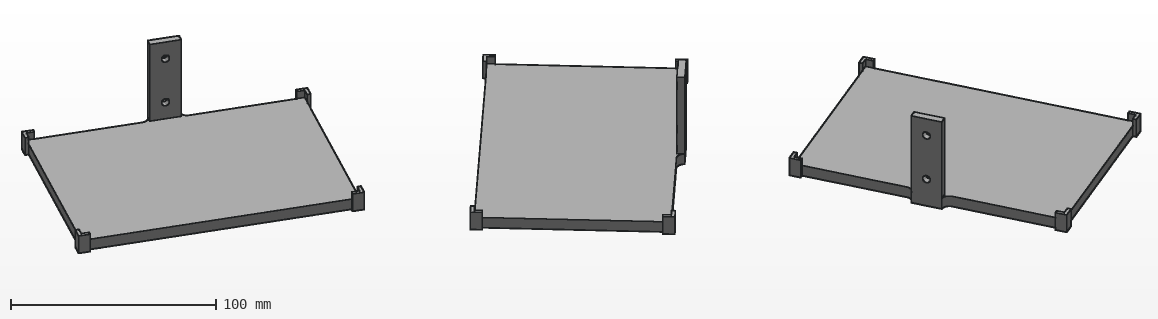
import cadquery as cq

total_x = 102.0
total_y = 145.0
total_z = 50.0

plate_thickness = 6.0
clip_height = 10.0
clip_length = 6.0
clip_wall = 1.9

bracket_thickness = 3.9
bracket_width = 16.0
hole_diameter = 3.9
hole_heights = (15.4, 40.5)

plate_x = total_x - bracket_thickness - clip_wall
plate_y = total_y - 2 * clip_wall
plate_edge_x = -plate_x / 2
bracket_outer_x = plate_edge_x - bracket_thickness


def make_plate():
    return cq.Workplane("XY").box(plate_x, plate_y, plate_thickness, centered=(True, True, False))


def make_clips():
    """Four L-shaped corner clips: corner posts hollowed by the tray outline."""
    posts = cq.Workplane("XY")
    centre_x = plate_x / 2 + clip_wall - clip_length / 2
    centre_y = total_y / 2 - clip_length / 2
    for side_x in (-1, 1):
        for side_y in (-1, 1):
            post = (
                cq.Workplane("XY")
                .center(side_x * centre_x, side_y * centre_y)
                .box(clip_length, clip_length, clip_height, centered=(True, True, False))
            )
            posts = posts.add(post)
    recess = cq.Workplane("XY").box(plate_x, plate_y, clip_height, centered=(True, True, False))
    return posts.combine().cut(recess)


def make_bracket():
    """Upright strip with two screw holes through its thickness."""
    strip = (
        cq.Workplane("XY")
        .center(plate_edge_x - bracket_thickness / 2, 0)
        .box(bracket_thickness, bracket_width, total_z, centered=(True, True, False))
    )
    holes = (
        cq.Workplane("YZ", origin=(bracket_outer_x, 0, 0))
        .pushPoints([(0, height) for height in hole_heights])
        .circle(hole_diameter / 2)
        .extrude(bracket_thickness)
    )
    return strip.cut(holes)


def make_root_fillet(side):
    """Concave quarter-round between the plate edge and one flank of the bracket."""
    radius = bracket_thickness
    flank_y = side * bracket_width / 2
    end_y = flank_y + side * radius
    arc_offset = radius * (1 - 0.5 ** 0.5)
    return (
        cq.Workplane("XY")
        .moveTo(plate_edge_x, flank_y)
        .lineTo(bracket_outer_x, flank_y)
        .threePointArc(
            (plate_edge_x - arc_offset, flank_y + side * arc_offset),
            (plate_edge_x, end_y),
        )
        .close()
        .extrude(plate_thickness)
    )


result = make_plate().union(make_clips()).union(make_bracket())
for side in (-1, 1):
    result = result.union(make_root_fillet(side))